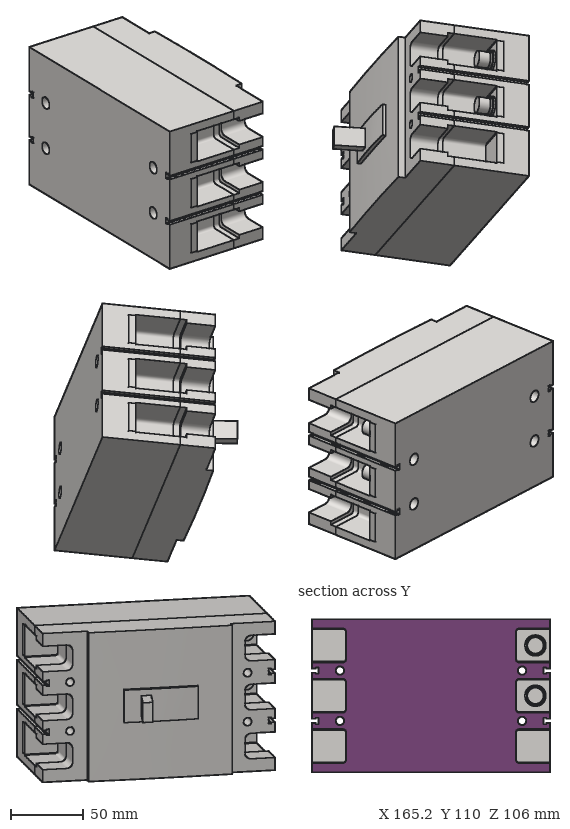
import cadquery as cq
import math


case_length = 165.2
case_height = 106.0
total_depth = 110.0
half_length = case_length / 2
half_height = case_height / 2

split_y = 55.0
shoulder_y = 80.0
panel_edge_y = 84.9
panel_crown = 0.7
collar_edge_y = 87.9
collar_crown = 0.8

panel_length = 102.1
collar_length = 52.5
collar_height = 23.1

handle_thickness = 7.0
handle_height = 14.2
handle_tilt = 10.0
handle_x = 10.9

pole_pitch = 34.9
pole_positions = [-pole_pitch, 0.0, pole_pitch]
gap_positions = [-pole_pitch / 2, pole_pitch / 2]
ends = [-1, 1]

pocket_depth = 23.6
pocket_height = 23.5
pocket_radius = 2.5
pocket_floor_y = 23.6
pocket_top_y = 59.6
slot_depth = 21.3
slot_height = 18.2
slot_radius = 4.3

bar_thickness = 5.1
bar_height = 22.1

screw_x = 10.2 - half_length
screw_pole_positions = pole_positions[1:]
flange_diameter = 14.5
flange_thickness = 1.5
washer_diameter = 12.2
washer_thickness = 1.7
head_diameter = 11.2
head_thickness = 8.1

groove_mouth = 2.8
groove_neck_depth = 2.8
groove_width = 4.3
groove_depth = 4.6

hole_x = 63.1
hole_diameter = 5.6
bore_diameter = 8.6
bore_depth = split_y


def box(x_range, y_range, z_range):
    """Box spanning the given ranges along X, Y and Z."""
    sizes = [high - low for low, high in (x_range, y_range, z_range)]
    corner = (x_range[0], y_range[0], z_range[0])
    return cq.Workplane("XY").box(*sizes, centered=False).translate(corner)


def crowned_block(length, height, base_y, edge_y, crown):
    """Block centred on X and Z whose front face bulges as a shallow arc along X."""
    half = length / 2
    return (
        cq.Workplane("XY")
        .moveTo(-half, base_y)
        .lineTo(-half, edge_y)
        .threePointArc((0, edge_y + crown), (half, edge_y))
        .lineTo(half, base_y)
        .close()
        .extrude(height / 2, both=True)
    )


def end_recess(end, pole_z, depth, height, radius, y_range):
    """Recess open at one end of the case, with its two inner corners rounded."""
    block = (
        cq.Workplane("XY")
        .box(2 * depth, y_range[1] - y_range[0], height)
        .edges("|Y")
        .fillet(radius)
    )
    return block.translate((end * half_length, sum(y_range) / 2, pole_z))


def terminal_recesses():
    """Pockets and slots that give access to the terminals at both ends of every pole."""
    recesses = cq.Workplane("XY")
    for end in ends:
        for pole_z in pole_positions:
            pocket = end_recess(
                end, pole_z, pocket_depth, pocket_height, pocket_radius, (pocket_floor_y, pocket_top_y)
            )
            slot = end_recess(
                end, pole_z, slot_depth, slot_height, slot_radius, (pocket_top_y, shoulder_y)
            )
            recesses = recesses.add(pocket).add(slot)
    return recesses


def grooves():
    """T-shaped grooves in both end faces, running the full depth of the case."""
    cuts = cq.Workplane("XY")
    for end in ends:
        for gap_z in gap_positions:
            neck = cq.Workplane("XY").box(2 * groove_neck_depth, 2 * shoulder_y, groove_mouth)
            cuts = cuts.add(neck.translate((end * half_length, 0, gap_z)))
            head_depth = groove_depth - groove_neck_depth
            head_x = end * (half_length - groove_neck_depth - head_depth / 2)
            head = cq.Workplane("XY").box(head_depth, 2 * shoulder_y, groove_width)
            cuts = cuts.add(head.translate((head_x, 0, gap_z)))
    return cuts


def drills(diameter, depth):
    """Cylinders at the four mounting hole positions, from the mounting face forwards."""
    cuts = cq.Workplane("XY")
    for end in ends:
        for gap_z in gap_positions:
            drill = cq.Workplane("XZ").circle(diameter / 2).extrude(-depth)
            cuts = cuts.add(drill.translate((end * hole_x, 0, gap_z)))
    return cuts


def cut_all(body, cutters):
    """Body with every solid of the cutters removed."""
    for cutter in cutters.vals():
        body = body.cut(cq.Workplane(cutter))
    return body


def cut_case_features(body):
    """Case half with its share of the pockets, grooves and mounting holes."""
    body = cut_all(body, terminal_recesses())
    body = cut_all(body, grooves())
    body = cut_all(body, drills(hole_diameter, shoulder_y))
    return cut_all(body, drills(bore_diameter, bore_depth))


def make_terminal_bars():
    """Bars under the terminal pockets, running through the base from end to end."""
    bars = []
    for pole_z in pole_positions:
        bars.append(
            box(
                (-half_length, half_length),
                (pocket_floor_y - bar_thickness, pocket_floor_y),
                (pole_z - bar_height / 2, pole_z + bar_height / 2),
            )
        )
    return bars


def make_base(bars):
    """Rear half of the case, with channels for the terminal bars."""
    base = box((-half_length, half_length), (0, split_y), (-half_height, half_height))
    base = cut_case_features(base)
    for bar in bars:
        base = base.cut(bar)
    return base


def make_cover():
    """Front half of the case with its raised panel and the collar around the handle."""
    cover = box((-half_length, half_length), (split_y, shoulder_y), (-half_height, half_height))
    cover = cover.union(crowned_block(panel_length, case_height, split_y, panel_edge_y, panel_crown))
    cover = cover.union(crowned_block(collar_length, collar_height, split_y, collar_edge_y, collar_crown))
    return cut_case_features(cover)


def make_handle(cover):
    """Tilted lever standing on the collar."""
    tilt = math.radians(handle_tilt)
    collar_y = collar_edge_y + collar_crown
    rise = total_depth - collar_y - handle_thickness / 2 * math.sin(tilt)
    reach = rise / math.cos(tilt)
    root = handle_thickness
    lever = (
        cq.Workplane("XY")
        .box(handle_thickness, reach + root, handle_height)
        .translate((0, (reach - root) / 2, 0))
        .rotate((0, 0, 0), (0, 0, 1), -handle_tilt)
        .translate((handle_x, collar_y, 0))
    )
    return lever.cut(cover)


def make_screw(pole_z):
    """Terminal screw standing on the bar of one pole."""
    screw = (
        cq.Workplane("XZ")
        .circle(flange_diameter / 2)
        .extrude(-flange_thickness)
        .faces(">Y")
        .workplane()
        .circle(washer_diameter / 2)
        .extrude(washer_thickness)
        .faces(">Y")
        .workplane()
        .circle(head_diameter / 2)
        .extrude(head_thickness)
    )
    return screw.translate((screw_x, pocket_floor_y, pole_z))


terminal_bars = make_terminal_bars()
base = make_base(terminal_bars)
cover = make_cover()
handle = make_handle(cover)
screws = [make_screw(pole_z) for pole_z in screw_pole_positions]

result = cq.Compound.makeCompound(
    [base.val(), cover.val(), handle.val()]
    + [bar.val() for bar in terminal_bars]
    + [screw.val() for screw in screws]
)